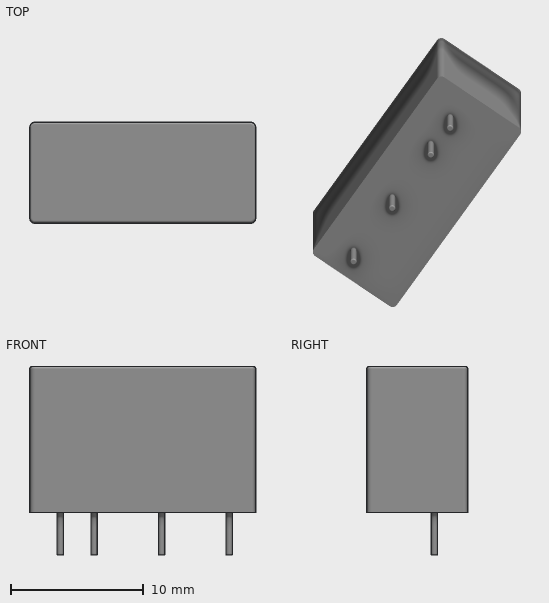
import cadquery as cq

housing_length = 17.0
housing_width = 7.62
overall_height = 14.2
housing_height = 10.99
corner_radius = 0.4
top_edge_radius = 0.2

pin_diameter = 0.5
pin_length = overall_height - housing_height
pin_tip_radius = 0.1
grid_pitch = 2.54
pin_grid_steps = [0, 1, 3, 5]
first_pin_from_end = 2.3
pin_row_from_back = 2.52

housing_center_x = housing_length / 2 - first_pin_from_end
housing_center_y = pin_row_from_back - housing_width / 2


def make_housing():
    """Block standing on Z = 0 with rounded upright edges and a rounded top rim."""
    return (
        cq.Workplane("XY")
        .center(housing_center_x, housing_center_y)
        .rect(housing_length, housing_width)
        .extrude(housing_height)
        .edges("|Z")
        .fillet(corner_radius)
        .faces(">Z")
        .edges()
        .fillet(top_edge_radius)
    )


def make_pin(x):
    """Round pin hanging from the housing underside, with a rounded tip edge."""
    return (
        cq.Workplane("XY")
        .center(x, 0)
        .circle(pin_diameter / 2)
        .extrude(-pin_length)
        .faces("<Z")
        .edges()
        .fillet(pin_tip_radius)
    )


housing = make_housing()
pins = [make_pin(step * grid_pitch) for step in pin_grid_steps]

result = cq.Compound.makeCompound([housing.val(), *[pin.val() for pin in pins]])